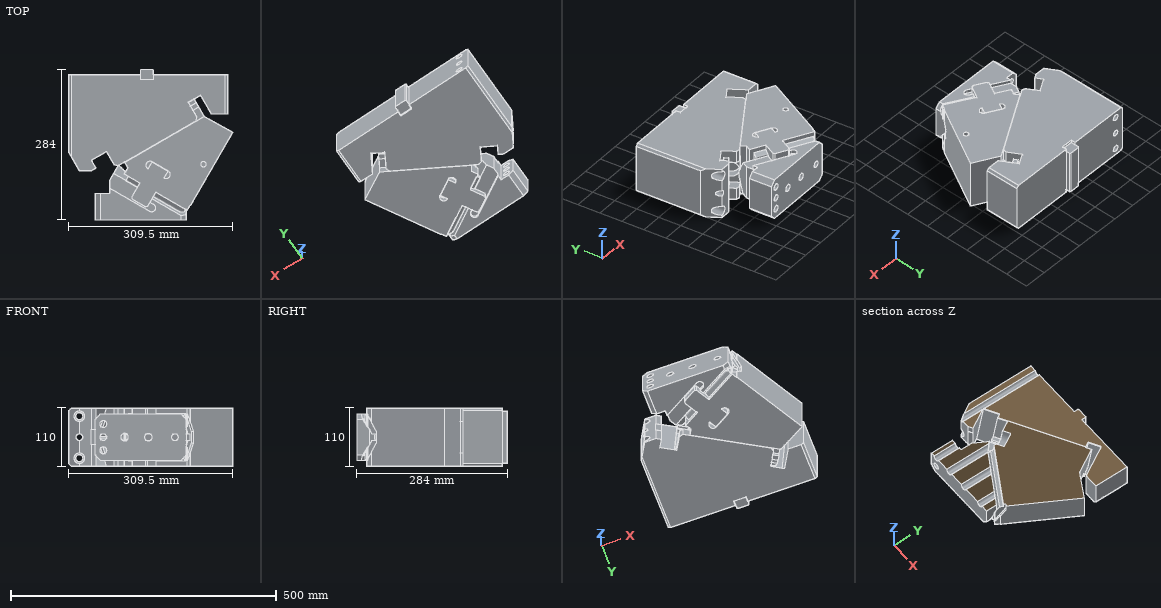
import cadquery as cq
import math

UNIT_HEIGHT = 110.0
HALF_HEIGHT = UNIT_HEIGHT / 2
SLOPE = 30.0
GUIDE_ORIGIN = (95.0, -171.0)
OVERALL_LENGTH = 309.5
SLIDER_LENGTH, SLIDER_WIDTH = 138.0, 170.5
CAM_ORIGIN = (
    OVERALL_LENGTH
    - SLIDER_LENGTH * math.cos(math.radians(SLOPE))
    - SLIDER_WIDTH * math.sin(math.radians(SLOPE)),
    -187.3,
)


def sloped_frame(origin, angle):
    """Plane in XY whose local x axis is turned by angle about Z."""
    turn = math.radians(angle)
    return cq.Plane(origin=(*origin, 0), xDir=(math.cos(turn), math.sin(turn), 0), normal=(0, 0, 1))


GUIDE = sloped_frame(GUIDE_ORIGIN, SLOPE)
CAM = sloped_frame(CAM_ORIGIN, -SLOPE)


def to_plan(frame, along, across):
    """XY position of a point given in a sloped frame."""
    point = frame.toWorldCoords((along, across, 0))
    return (point.x, point.y)


def slab(points, bottom, top):
    """Plan outline raised between two heights."""
    return cq.Workplane("XY").workplane(offset=bottom).polyline(points).close().extrude(top - bottom)


def block(frame, along, across, heights):
    """Box in a sloped frame, given by its three ranges."""
    corners = [
        to_plan(frame, along[0], across[0]),
        to_plan(frame, along[1], across[0]),
        to_plan(frame, along[1], across[1]),
        to_plan(frame, along[0], across[1]),
    ]
    return slab(corners, *heights)


def rail(frame, section, along):
    """Section of (across, height) points swept straight along a sloped frame."""
    start = frame.toWorldCoords((along[0], 0, 0))
    plane = cq.Plane(origin=start, xDir=frame.yDir, normal=frame.xDir)
    return cq.Workplane(plane).polyline(section).close().extrude(along[1] - along[0])


def mirrored_rail(frame, section, along):
    """A rail and its mirror image below mid-height."""
    upper = rail(frame, section, along)
    return upper.union(upper.mirror("XY"))


def symmetric_section(upper_half):
    """Close a half section by mirroring it about mid-height."""
    return upper_half + [(across, -height) for across, height in reversed(upper_half)]


def hole_along_y(x, z, diameter, front, back):
    """Cylinder along Y between two Y positions."""
    return (
        cq.Workplane("XZ", origin=(x, front, z))
        .circle(diameter / 2)
        .extrude(front - back)
    )


V_ANGLE = 32.0
V_RISE = math.tan(math.radians(V_ANGLE))
V_FLAT = 6.0
WALL_FLAT = 1.2

HOUSING_LENGTH = 300.0
LEG_DEPTH = 181.5
ARM_DEPTH = 74.5
LEFT_DEPTH = 146.5
EDGE_CHAMFER = 5.0
NOTCH_RIGHT, NOTCH_LEFT, NOTCH_DEPTH = -7.7, -40.2, 34.0
LEG_TIP = 17.0
LEG_GROOVE_HALF, LEG_GROOVE_DEPTH = 14.2, 0.3
SLOT_LEFT, SLOT_RIGHT, SLOT_DEPTH = 172.5, 198.8, 37.0
CORNER_BEVEL = 5.5

NECK_HALF, HEAD_HALF = 29.5, 39.0
HEAD_TIP_HALF = 34.0
HEAD_START, HEAD_STEP = 20.0, 29.5
PAD_THICKNESS = 9.3
GUIDE_GAP = 0.5

SCREW_X, SCREW_Z = 20.0, 39.5
SCREW_DIAMETER, SCREW_HEAD_DIAMETER = 13.0, 19.8
SCREW_SEAT_Y = -148.5
DOWEL_DIAMETER = 12.0

KEY_LEFT, KEY_WIDTH = 135.0, 24.8
KEY_OUT, KEY_IN = 10.0, 9.5
KEY_HALF_HEIGHT = 49.2
KEY_CHAMFER = 1.5

SLIDER_START, SLIDER_END = 11.5, 185.0
SLIDER_NOSE = 13.3
TONGUE_START = 12.7
TONGUE_POCKET_ACROSS, TONGUE_POCKET_DIAMETER, TONGUE_POCKET_DEPTH = 17.0, 32.2, 17.0
LIP_START, LIP_END, LIP_TOP, LIP_ROUND = 9.0, 133.5, 45.0, 2.8
LIP_BEVEL_ALONG, LIP_BEVEL_ACROSS = 8.0, 4.5
END_STEP, END_STEP_ACROSS = 1.0, 11.0
GROOVE_DEPTH = 16.7
PAD_POCKET, PAD_FLAT = 15.2, 10.8
HOOK_START, HOOK_END, HOOK_REACH = 34.0, 68.7, 33.5
HOOK_CHAMFER = 3.0
HOOK_BOTTOM = 35.5
HOOK_ROOT = 6.2
RELIEF_RADIUS, RELIEF_ACROSS, RELIEF_GAP = 7.7, 38.7, 0.5
PIN_HOLE_ALONG, PIN_HOLE_ACROSS = 120.0, 90.7
PIN_HOLE_DIAMETER, PIN_HOLE_DEPTH = 10.2, 24.8

DRIVER_LEFT, DRIVER_RIGHT = 50.0, 222.0
DRIVER_FRONT, DRIVER_SHELF, DRIVER_STEP_X = -274.0, -224.0, 77.0
DRIVER_HALF = 44.0
DRIVER_CHAMFER = 10.2
DRIVER_END = -18.0
CREST_LOW_START, CREST_LOW = 1.5, 4.3
FLANK_START = -14.2
RECESS_EDGE, RECESS_RADIUS, RECESS_TIP = -36.8, 7.5, 84.2
DRIVER_HOLES = [
    (15.5, -24.8, 13.0),
    (15.5, 0.0, 12.5),
    (15.5, 24.8, 13.0),
    (55.5, 0.0, 14.0),
    (100.3, 0.0, 14.0),
    (150.5, 0.0, 12.7),
]


def flank_at(height):
    """Across-position of the cam's V flank at a height."""
    return FLANK_START + (DRIVER_HALF - height) * V_RISE


CREST = flank_at(V_FLAT)


def v_wall(start, height):
    """Across-position of a V-shaped guide wall whose outer edges lie at start."""
    return start + (HALF_HEIGHT - height) * V_RISE


PAD_START = NOTCH_DEPTH - PAD_THICKNESS
TONGUE_SECTION = symmetric_section([
    (-GUIDE_GAP, NECK_HALF),
    (HEAD_START, NECK_HALF),
    (HEAD_START, HEAD_HALF),
    (HEAD_STEP, HEAD_HALF),
    (HEAD_STEP, HEAD_TIP_HALF),
    (v_wall(PAD_START, HEAD_TIP_HALF), HEAD_TIP_HALF),
    (v_wall(PAD_START, WALL_FLAT), WALL_FLAT),
])


def v_end(depth, along):
    """Groove in the end wall of a notch, deepest at mid-height."""
    section = symmetric_section([
        (depth, HALF_HEIGHT),
        (v_wall(depth, WALL_FLAT), WALL_FLAT),
    ])
    return rail(GUIDE, section, along)


def make_housing():
    slot_mouth = to_plan(GUIDE, SLOT_RIGHT, 0)
    mouth_x = slot_mouth[0] - (-ARM_DEPTH - slot_mouth[1]) * math.tan(math.radians(SLOPE))
    leg_corner = to_plan(GUIDE, NOTCH_LEFT, LEG_TIP)
    leg_x = leg_corner[0] - (LEG_DEPTH + leg_corner[1]) / math.tan(math.radians(SLOPE))
    leg_left = (LEG_DEPTH - LEFT_DEPTH) * math.tan(math.radians(SLOPE))

    body = cq.Workplane("XY").box(HOUSING_LENGTH, LEG_DEPTH, UNIT_HEIGHT, centered=(False, False, True))
    body = body.translate((0, -LEG_DEPTH, 0)).edges("|Y").chamfer(EDGE_CHAMFER)
    outline = [
        (0, 0),
        (HOUSING_LENGTH, 0),
        (HOUSING_LENGTH, -ARM_DEPTH),
        (mouth_x, -ARM_DEPTH),
        to_plan(GUIDE, SLOT_RIGHT, SLOT_DEPTH),
        to_plan(GUIDE, SLOT_LEFT, SLOT_DEPTH),
        to_plan(GUIDE, SLOT_LEFT, CORNER_BEVEL),
        to_plan(GUIDE, SLOT_LEFT - CORNER_BEVEL, 0),
        to_plan(GUIDE, NOTCH_RIGHT + CORNER_BEVEL, 0),
        to_plan(GUIDE, NOTCH_RIGHT, CORNER_BEVEL),
        to_plan(GUIDE, NOTCH_RIGHT, NOTCH_DEPTH),
        to_plan(GUIDE, NOTCH_LEFT, NOTCH_DEPTH),
        leg_corner,
        (leg_x, -LEG_DEPTH),
        (leg_left, -LEG_DEPTH),
        (0, -LEFT_DEPTH),
    ]
    body = body.intersect(slab(outline, -HALF_HEIGHT, HALF_HEIGHT))
    body = body.cut(v_end(NOTCH_DEPTH, (NOTCH_LEFT, NOTCH_RIGHT)))
    body = body.cut(v_end(SLOT_DEPTH, (SLOT_LEFT, SLOT_RIGHT)))
    body = body.cut(rail(GUIDE, TONGUE_SECTION, (NOTCH_RIGHT, SLOT_LEFT)))

    leg_groove = block(
        GUIDE,
        (NOTCH_LEFT - LEG_DEPTH, NOTCH_LEFT),
        (LEG_TIP, LEG_TIP + LEG_GROOVE_DEPTH),
        (-LEG_GROOVE_HALF, LEG_GROOVE_HALF),
    )
    body = body.cut(leg_groove)

    for side in (-1, 1):
        z = side * SCREW_Z
        body = body.cut(hole_along_y(SCREW_X, z, SCREW_DIAMETER, 0, -LEG_DEPTH))
        body = body.cut(hole_along_y(SCREW_X, z, SCREW_HEAD_DIAMETER, SCREW_SEAT_Y, -LEG_DEPTH))
    body = body.cut(hole_along_y(SCREW_X, 0, DOWEL_DIAMETER, 0, -LEG_DEPTH))

    groove = cq.Workplane("XY").box(KEY_WIDTH, KEY_IN, UNIT_HEIGHT, centered=(False, False, True))
    key = cq.Workplane("XY").box(KEY_WIDTH, KEY_IN + KEY_OUT, 2 * KEY_HALF_HEIGHT, centered=(False, False, True))
    key = key.faces(">Y").edges("|Z").chamfer(KEY_CHAMFER)
    place = (KEY_LEFT, -KEY_IN, 0)
    return body.cut(groove.translate(place)).union(key.translate(place))


def slider_lips():
    """Bevelled lips that reach down the driver's flanks."""
    depth = ((LIP_TOP - DRIVER_HALF) * V_RISE - FLANK_START) / (1 + V_RISE**2)
    tip_height = LIP_TOP - depth * V_RISE
    root_height = DRIVER_HALF + FLANK_START / V_RISE
    lip = rail(CAM, [(0, LIP_TOP), (-depth, tip_height), (0, root_height)], (LIP_START, LIP_END))
    tip_middle = (*to_plan(CAM, (LIP_START + LIP_END) / 2, -depth), tip_height)
    lip = lip.edges(cq.selectors.NearestToPointSelector(tip_middle)).fillet(LIP_ROUND)
    bevel = slab(
        [
            to_plan(CAM, LIP_END - LIP_BEVEL_ALONG, -depth),
            to_plan(CAM, LIP_END, -depth),
            to_plan(CAM, LIP_END, LIP_BEVEL_ACROSS - depth),
        ],
        -HALF_HEIGHT,
        HALF_HEIGHT,
    )
    lip = lip.cut(bevel)
    return lip.union(lip.mirror("XY"))


def ridge_groove():
    """V groove for the driver's ridge, wider where its flanks step back at the right end."""
    upper_half = [
        (FLANK_START, DRIVER_HALF),
        (CREST, V_FLAT),
        (GROOVE_DEPTH, V_FLAT),
    ]
    groove = rail(CAM, symmetric_section(upper_half), (DRIVER_END, SLIDER_LENGTH))
    end_half = [
        (FLANK_START + PAD_POCKET, DRIVER_HALF),
        (flank_at(PAD_FLAT) + PAD_POCKET, PAD_FLAT),
    ]
    return groove.union(rail(CAM, symmetric_section(end_half), (LIP_END, SLIDER_LENGTH)))


def slider_hooks():
    """Flat arms above and below the driver."""
    upper = block(CAM, (HOOK_START, HOOK_END), (-HOOK_REACH, HOOK_ROOT), (HOOK_BOTTOM, HALF_HEIGHT))
    tip_middle = to_plan(CAM, (HOOK_START + HOOK_END) / 2, -HOOK_REACH)
    tip = cq.selectors.NearestToPointSelector((*tip_middle, (HOOK_BOTTOM + HALF_HEIGHT) / 2))
    upper = upper.faces(tip).edges("|Z").chamfer(HOOK_CHAMFER)
    return [upper, upper.mirror("XY")]


def hook_reliefs():
    """C-shaped grooves around the roots of the hooks."""
    middle = to_plan(CAM, (HOOK_START + HOOK_END) / 2, RELIEF_ACROSS)
    depth = HALF_HEIGHT - HOOK_BOTTOM
    length = HOOK_END - HOOK_START + 2 * RELIEF_RADIUS
    slot = (
        cq.Workplane("XY", origin=(*middle, HOOK_BOTTOM))
        .slot2D(length, 2 * RELIEF_RADIUS, -SLOPE)
        .extrude(depth)
    )
    tab_top = RELIEF_ACROSS + RELIEF_RADIUS - RELIEF_GAP
    tab = block(CAM, (HOOK_START, HOOK_END), (0, tab_top), (HOOK_BOTTOM, HALF_HEIGHT))
    upper = slot.cut(tab)
    return [upper, upper.mirror("XY")]


def tongue_pocket():
    """Round blind pocket in the left end of the tongue."""
    origin = GUIDE.toWorldCoords((TONGUE_START, TONGUE_POCKET_ACROSS, 0))
    plane = cq.Plane(origin=origin, xDir=GUIDE.yDir, normal=GUIDE.xDir)
    return cq.Workplane(plane).circle(TONGUE_POCKET_DIAMETER / 2).extrude(TONGUE_POCKET_DEPTH)


def make_slider():
    outline = [
        to_plan(GUIDE, SLIDER_START, -GUIDE_GAP),
        to_plan(GUIDE, SLIDER_END, -GUIDE_GAP),
        to_plan(CAM, SLIDER_LENGTH, SLIDER_WIDTH),
        to_plan(CAM, SLIDER_LENGTH, END_STEP_ACROSS),
        to_plan(CAM, SLIDER_LENGTH - END_STEP, END_STEP_ACROSS),
        to_plan(CAM, SLIDER_LENGTH - END_STEP, 0),
        to_plan(CAM, 0, 0),
        to_plan(CAM, 0, SLIDER_NOSE),
    ]
    body = slab(outline, -HALF_HEIGHT, HALF_HEIGHT)
    body = body.union(rail(GUIDE, TONGUE_SECTION, (TONGUE_START, SLIDER_END)))
    body = body.union(slider_lips())
    body = body.cut(ridge_groove())
    for hook in slider_hooks():
        body = body.union(hook)
    for relief in hook_reliefs():
        body = body.cut(relief)
    pin_x, pin_y = to_plan(CAM, PIN_HOLE_ALONG, PIN_HOLE_ACROSS)
    pin_hole = cq.Workplane("XY", origin=(pin_x, pin_y, HALF_HEIGHT)).circle(PIN_HOLE_DIAMETER / 2)
    body = body.cut(pin_hole.extrude(-PIN_HOLE_DEPTH))
    return body.cut(tongue_pocket())


def flank_cutter():
    """Everything outside the flanks of the driver's ridge."""
    outside = [
        (FLANK_START, DRIVER_HALF),
        (CREST, V_FLAT),
        (CREST, DRIVER_HALF),
    ]
    return mirrored_rail(CAM, outside, (DRIVER_END, SLIDER_LENGTH))


def corner_cutter(x, inward, side):
    """Wedge along Y that bevels one long edge of the driver's base."""
    z = side * DRIVER_HALF
    wedge = [(x, z), (x + inward * DRIVER_CHAMFER, z), (x, z - side * DRIVER_CHAMFER)]
    return cq.Workplane("XZ", origin=(0, DRIVER_FRONT, 0)).polyline(wedge).close().extrude(-UNIT_HEIGHT)


def hook_recesses():
    """Pockets for the hooks, open to the left and ending in a round slot."""
    middle_across = RECESS_EDGE + RECESS_RADIUS
    heights = (HOOK_BOTTOM, DRIVER_HALF)
    wide = block(CAM, (-HOOK_END, HOOK_END), (RECESS_EDGE, CREST), heights)
    slot_end = RECESS_TIP - RECESS_RADIUS
    straight = block(CAM, (0, slot_end), (RECESS_EDGE, RECESS_EDGE + 2 * RECESS_RADIUS), heights)
    tip = (
        cq.Workplane("XY", origin=(*to_plan(CAM, slot_end, middle_across), HOOK_BOTTOM))
        .circle(RECESS_RADIUS)
        .extrude(DRIVER_HALF - HOOK_BOTTOM)
    )
    upper = wide.union(straight).union(tip)
    return [upper, upper.mirror("XY")]


def make_driver():
    nose = to_plan(CAM, DRIVER_END, CREST)
    crest = to_plan(CAM, CREST_LOW_START, CREST_LOW)
    crest_fall = (DRIVER_RIGHT - crest[0]) * math.tan(math.radians(SLOPE))
    nose_foot = nose[1] - (nose[0] - DRIVER_STEP_X) / math.tan(math.radians(SLOPE))
    outline = [
        (DRIVER_LEFT, DRIVER_FRONT),
        (DRIVER_RIGHT, DRIVER_FRONT),
        (DRIVER_RIGHT, crest[1] - crest_fall),
        crest,
        nose,
        (DRIVER_STEP_X, nose_foot),
        (DRIVER_STEP_X, DRIVER_SHELF),
        (DRIVER_LEFT, DRIVER_SHELF),
    ]
    body = slab(outline, -DRIVER_HALF, DRIVER_HALF)
    body = body.cut(flank_cutter())
    for side in (-1, 1):
        body = body.cut(corner_cutter(DRIVER_LEFT, 1, side))
        body = body.cut(corner_cutter(DRIVER_RIGHT, -1, side))
    for recess in hook_recesses():
        body = body.cut(recess)
    for offset, z, diameter in DRIVER_HOLES:
        body = body.cut(hole_along_y(DRIVER_LEFT + offset, z, diameter, nose[1], DRIVER_FRONT))
    return body


result = cq.Compound.makeCompound([make_housing().val(), make_slider().val(), make_driver().val()])